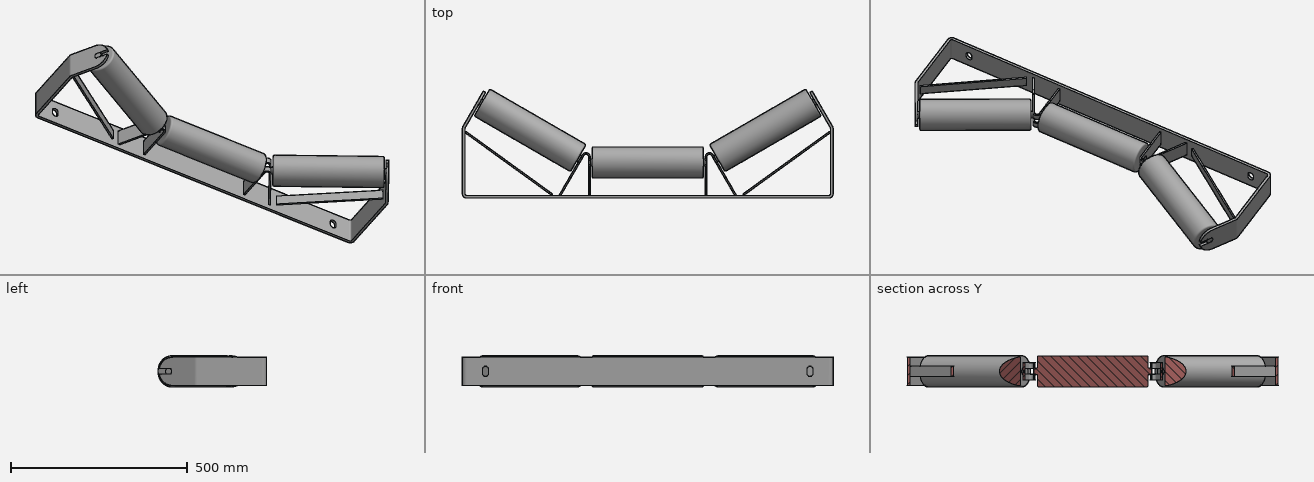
import cadquery as cq
import math

frame_length = 1050.0
bar_width = 80.0
frame_thickness = 8.0
frame_bend_inner_radius = 5.0
frame_bend_height = 200.0
tilt_angle = 30.0
end_leg_length = 120.0
mount_hole_spacing = 918.0
mount_hole_width = 18.0
mount_hole_length = 28.0

roller_diameter = 89.0
roller_length = 315.0
roller_edge_radius = 5.0
shaft_diameter = 20.0
shaft_flat_width = 16.0
middle_axis_height = 101.0
end_seat_distance = 89.2
leg_gap = 5.0

bracket_thickness = 5.0
bracket_width = 50.0
bracket_bend_inner_radius = 7.0

brace_thickness = 5.0
brace_width = 30.0
brace_wall_height = 185.0
brace_foot_x = 272.0

half_length = frame_length / 2
inner_wall_x = -half_length + frame_thickness
tilt_sin = math.sin(math.radians(tilt_angle))
tilt_cos = math.cos(math.radians(tilt_angle))
leg_direction = (tilt_sin, tilt_cos)
axis_direction = (tilt_cos, -tilt_sin)
frame_bend_outer_radius = frame_bend_inner_radius + frame_thickness
bracket_bend_outer_radius = bracket_bend_inner_radius + bracket_thickness
tilted_bracket_start = frame_thickness + roller_length + 2 * leg_gap
bracket_face_x = -roller_length / 2 - leg_gap


def move(point, direction, distance):
    return (point[0] + direction[0] * distance, point[1] + direction[1] * distance)


def point_at_height(point, direction, height):
    """Follow a line through the point until it reaches the given Y."""
    return move(point, direction, (height - point[1]) / direction[1])


def point_at_x(point, direction, x):
    """Follow a line through the point until it reaches the given X."""
    return move(point, direction, (x - point[0]) / direction[0])


def seat_plane(point, normal):
    """Plane across a roller axis: local x runs up the leg, local y is +Z."""
    up_the_leg = (-normal[1], normal[0], 0)
    return cq.Plane(origin=(*point, 0), xDir=up_the_leg, normal=(*normal, 0))


outer_bend_corner = (-half_length, frame_bend_height)
end_seat = move(outer_bend_corner, leg_direction, end_seat_distance)
end_seat_plane = seat_plane(end_seat, axis_direction)
tilted_bracket_seat = move(end_seat, axis_direction, tilted_bracket_start)
tilted_bracket_plane = seat_plane(tilted_bracket_seat, axis_direction)
middle_bracket_plane = cq.Plane(
    origin=(bracket_face_x, middle_axis_height, 0), xDir=(0, 1, 0), normal=(-1, 0, 0)
)


def mirrored(body):
    return body.mirror("YZ")


def open_slot(plane, depth):
    """Shaft seat in a leg: rounded at the bottom, open towards the leg tip."""
    slot_reach = end_leg_length
    bottom = cq.Workplane(plane).circle(shaft_diameter / 2).extrude(depth)
    throat = cq.Workplane(plane).rect(2 * slot_reach, shaft_flat_width).extrude(depth)
    upper_half = (
        cq.Workplane(plane)
        .center(slot_reach / 2, 0)
        .rect(slot_reach, shaft_flat_width)
        .extrude(depth)
    )
    return bottom.intersect(throat).union(upper_half)


def roller(start_plane, start_thickness):
    """Roller on a round shaft; both shaft ends are flatted to fill the slots in the legs.

    The shaft starts flush with the far face of its first leg and ends flush with
    the far face of a bracket leg.
    """
    shell_start = start_thickness + leg_gap
    neck_length = roller_length + 2 * leg_gap
    shaft_length = start_thickness + neck_length + bracket_thickness
    start = cq.Workplane(start_plane)
    shaft = start.circle(shaft_diameter / 2).extrude(shaft_length)
    flats = start.rect(shaft_diameter, shaft_flat_width).extrude(shaft_length)
    neck = start.workplane(offset=start_thickness).circle(shaft_diameter / 2).extrude(neck_length)
    shell = (
        start.workplane(offset=shell_start)
        .circle(roller_diameter / 2)
        .extrude(roller_length)
        .edges()
        .fillet(roller_edge_radius)
    )
    return shell.union(neck).union(shaft.intersect(flats))


def frame_end_rounding():
    """Material outside the semicircular tip of the left end leg."""
    tip_radius = bar_width / 2
    tip_center = end_leg_length - end_seat_distance - tip_radius
    corner_block = (
        cq.Workplane(end_seat_plane)
        .center(tip_center + tip_radius / 2, 0)
        .rect(tip_radius, bar_width)
        .extrude(frame_thickness)
    )
    tip = cq.Workplane(end_seat_plane).center(tip_center, 0).circle(tip_radius).extrude(frame_thickness)
    return corner_block.cut(tip)


def build_frame():
    outer_tip = move(outer_bend_corner, leg_direction, end_leg_length)
    inner_tip = move(outer_tip, axis_direction, frame_thickness)
    inner_bend_corner = point_at_x(inner_tip, leg_direction, inner_wall_x)
    outer_base_corner = (-half_length, 0)
    inner_base_corner = (inner_wall_x, frame_thickness)
    outer_left = [outer_tip, outer_bend_corner, outer_base_corner]
    inner_left = [inner_base_corner, inner_bend_corner, inner_tip]
    left_points = [*inner_left, *outer_left]
    right_points = [(-x, y) for x, y in reversed(left_points)]
    bar = (
        cq.Workplane("XY")
        .polyline(left_points + right_points)
        .close()
        .extrude(bar_width / 2, both=True)
    )

    for corners, radius in (
        ([outer_bend_corner, outer_base_corner], frame_bend_outer_radius),
        ([inner_bend_corner, inner_base_corner], frame_bend_inner_radius),
    ):
        for x, y in corners:
            for bend_x in (x, -x):
                bar = bar.edges(cq.NearestToPointSelector((bend_x, y, 0))).fillet(radius)

    end_cut = frame_end_rounding().union(open_slot(end_seat_plane, frame_thickness))
    mount_holes = (
        cq.Workplane("XZ")
        .pushPoints([(-mount_hole_spacing / 2, 0), (mount_hole_spacing / 2, 0)])
        .slot2D(mount_hole_length, mount_hole_width, 90)
        .extrude(-frame_thickness)
    )
    return bar.cut(end_cut).cut(mirrored(end_cut)).cut(mount_holes)


def build_bracket():
    """Left inner bracket: tilted leg, bend and upright leg."""
    inner_face = move(tilted_bracket_seat, axis_direction, bracket_thickness)
    inner_face_x = bracket_face_x - bracket_thickness
    outer_apex = point_at_x(tilted_bracket_seat, leg_direction, bracket_face_x)
    inner_apex = point_at_x(inner_face, leg_direction, inner_face_x)
    strap = (
        cq.Workplane("XY")
        .polyline([
            point_at_height(tilted_bracket_seat, leg_direction, frame_thickness),
            outer_apex,
            (bracket_face_x, frame_thickness),
            (inner_face_x, frame_thickness),
            inner_apex,
            point_at_height(inner_face, leg_direction, frame_thickness),
        ])
        .close()
        .extrude(bracket_width / 2, both=True)
        .edges(cq.NearestToPointSelector((*outer_apex, 0)))
        .fillet(bracket_bend_outer_radius)
        .edges(cq.NearestToPointSelector((*inner_apex, 0)))
        .fillet(bracket_bend_inner_radius)
    )
    for plane in (tilted_bracket_plane, middle_bracket_plane):
        strap = strap.cut(open_slot(plane, bracket_bend_outer_radius))
    return strap


def build_brace():
    """Left brace: its lower edges rest on the side wall and on the base."""
    wall_point = (inner_wall_x, brace_wall_height)
    foot_point = (-brace_foot_x, frame_thickness)
    run = foot_point[0] - wall_point[0]
    drop = wall_point[1] - foot_point[1]
    brace_length = math.hypot(run, drop)
    upward_normal = (drop / brace_length, run / brace_length)
    return (
        cq.Workplane("XY")
        .polyline([
            wall_point,
            foot_point,
            move(foot_point, upward_normal, brace_thickness),
            move(wall_point, upward_normal, brace_thickness),
        ])
        .close()
        .extrude(brace_width / 2, both=True)
    )


frame = build_frame()

middle_shaft_start = seat_plane((bracket_face_x - bracket_thickness, middle_axis_height), (1, 0))
middle_roller = roller(middle_shaft_start, bracket_thickness)

left_bodies = [
    roller(end_seat_plane, frame_thickness),
    build_bracket(),
    build_brace(),
]

bodies = [frame.val(), middle_roller.val()]
for body in left_bodies:
    bodies += [body.val(), mirrored(body).val()]

result = cq.Compound.makeCompound(bodies)